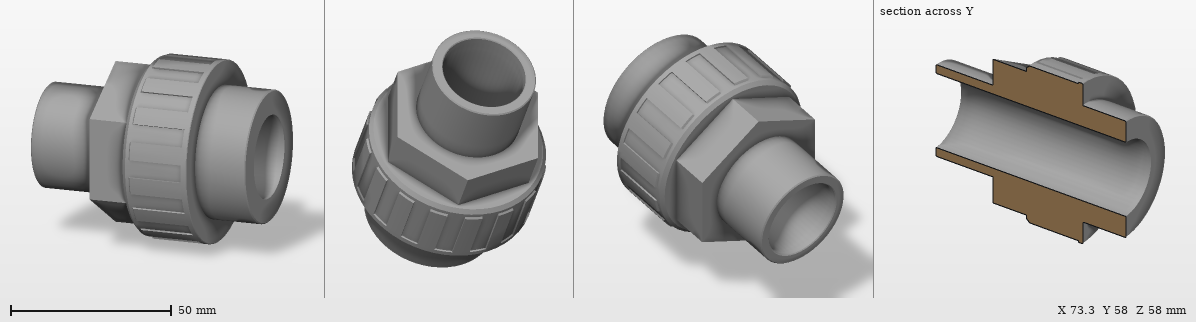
import cadquery as cq

total_length = 73.3
hex_start = 22.0
nut_start = 34.8
nut_end = 56.65
rib_start = 37.2
rib_end = 54.8

bore_diameter = 26.6
pipe_diameter = 33.3
socket_diameter = 42.2
nut_body_diameter = 56.8
nut_rim_diameter = 58.0
hex_across_corners = 52.0

pipe_chamfer = 0.4
bore_chamfer = 0.3
rim_chamfer = 0.2
nut_lead_length = 1.25
nut_lead_depth = 1.2

rib_count = 16
rib_lead_length = 0.45
rib_pitch = 360 / rib_count
rib_width_angle = rib_pitch / 2
first_rib_angle = rib_width_angle / 2


def cylinder(diameter, start, end):
    """Solid cylinder about X between two axial stations."""
    return cq.Workplane("YZ", origin=(start, 0, 0)).circle(diameter / 2).extrude(end - start)


def revolve_profile(points, angle=360):
    """Turn a closed (x, radius) outline about the X axis."""
    return cq.Workplane("XY").polyline(points).close().revolve(angle, (0, 0), (1, 0))


def make_hexagon():
    """Wrench hexagon with two corners on the Z axis."""
    hexagon = cq.Workplane("YZ", origin=(hex_start, 0, 0)).polygon(6, hex_across_corners)
    return hexagon.extrude(nut_start - hex_start).rotate((0, 0, 0), (1, 0, 0), 90)


def make_nut_body():
    """Nut barrel with a conical lead-in and a raised rim at its far end."""
    body_radius = nut_body_diameter / 2
    rim_radius = nut_rim_diameter / 2
    return revolve_profile([
        (nut_start, 0),
        (nut_start, body_radius - nut_lead_depth),
        (nut_start + nut_lead_length, body_radius),
        (rib_end, body_radius),
        (rib_end, rim_radius),
        (nut_end - rim_chamfer, rim_radius),
        (nut_end, rim_radius - rim_chamfer),
        (nut_end, 0),
    ])


def make_rib():
    """One grip rib with one flank in the XY plane and a sloped leading end, running into the rim."""
    rim_radius = nut_rim_diameter / 2
    base_radius = nut_body_diameter / 2 - nut_lead_depth
    return revolve_profile([
        (rib_start, base_radius),
        (rib_start, nut_body_diameter / 2),
        (rib_start + rib_lead_length, rim_radius),
        (rib_end, rim_radius),
        (rib_end, base_radius),
    ], rib_width_angle)


pipe = cylinder(pipe_diameter, 0, hex_start).faces("<X").chamfer(pipe_chamfer)
socket = cylinder(socket_diameter, nut_end, total_length).faces(">X").chamfer(pipe_chamfer)
result = pipe.union(make_hexagon()).union(make_nut_body()).union(socket)

rib = make_rib()
for index in range(rib_count):
    rib_angle = first_rib_angle + index * rib_pitch
    result = result.union(rib.rotate((0, 0, 0), (1, 0, 0), rib_angle))

result = result.cut(cylinder(bore_diameter, 0, total_length))
bore_radius = bore_diameter / 2
result = result.cut(revolve_profile([
    (0, 0),
    (0, bore_radius + bore_chamfer),
    (bore_chamfer, bore_radius),
    (bore_chamfer, 0),
]))